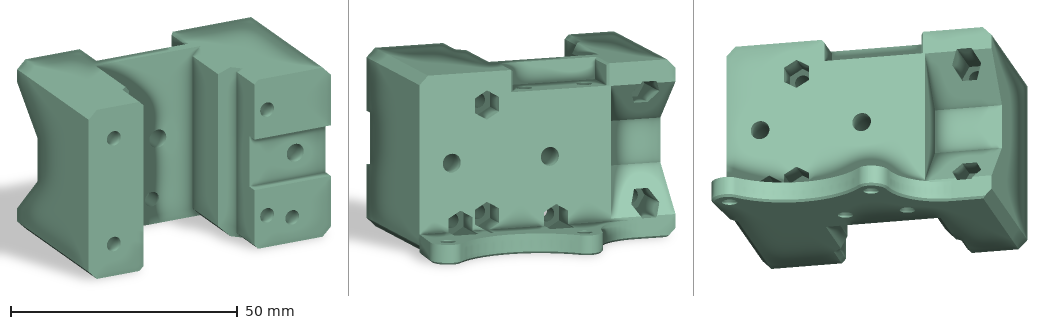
import cadquery as cq
import math

BODY_LENGTH = 34.45
BODY_WIDTH = 60.0
BODY_HEIGHT = 40.0
BODY_CHAMFER = 2.0
MID_Z = BODY_HEIGHT / 2
SMALL_CHAMFER = 0.5
OVERCUT = 3.05

CHANNEL_Y = 27.0
CHANNEL_WIDTH = 22.0
CHANNEL_START = 10.5
CHANNEL_CHAMFER = 2.0
MOUTH_Y = 27.3
MOUTH_WIDTH = 27.5
MOUTH_CHAMFER = 1.0
FLARE_START = 22.9

END_GROOVE_DEPTH = 2.45
END_GROOVE_HEIGHT = 11.95

SEAT_LENGTH = 8.0
SEAT_DEPTH = 5.0
SEAT_HOLE_X = 3.95
SEAT_HOLE_SPACING = 14.0

NOTCH_WIDTH = 15.1
NOTCH_DEPTH = 9.9
NOTCH_FLOOR_HEIGHT = 10.0

SCREW_DIAMETER = 3.4
BOLT_DIAMETER = 4.2
BOLT_SPACING = 23.0
NUT_FLATS = 5.7
NUT_POCKET_START = -4.15
NUT_POCKET_END = 6.0
NOTCH_NUT_POCKET_END = 12.0
CORNER_UP = 30
CORNER_SIDEWAYS = 0
PLATE_SCREW_Y = 44.2
NOTCH_SCREW_Y = 6.2
SCREW_SPACING_Z = 25.0
LOW_SCREW_Z = 5.9
LOW_SCREW_MID_Y = 39.2
LOW_SCREW_SPACING = 22.45

FLANGE_THICKNESS = 4.5
EAR_RADIUS = 4.0
EAR_X = -10.0
TIP_RADIUS = 3.0
TIP_ANGLE = 4.0
EAR_SPACING = 32.0
EAR_TOP = 61.0
UPPER_EAR_Y = EAR_TOP - EAR_RADIUS
LOWER_EAR_Y = UPPER_EAR_Y - EAR_SPACING
FLANGE_MID_Y = (UPPER_EAR_Y + LOWER_EAR_Y) / 2
WAIST_X = -7.0
FLANGE_END_Y = 9.15
FLANGE_ROOT = 3.05


def box(x, y, z):
    """Box spanning the given (low, high) pairs."""
    size = (x[1] - x[0], y[1] - y[0], z[1] - z[0])
    return cq.Workplane("XY").box(*size, centered=False).translate((x[0], y[0], z[0]))


def prism_along_x(points, x_start, x_end):
    """Polygon of (Y, Z) points swept from x_start to x_end."""
    return cq.Workplane("YZ").polyline(points).close().extrude(x_end - x_start).translate((x_start, 0, 0))


def hole_along_x(y, z, diameter):
    return (
        cq.Workplane("YZ", origin=(-OVERCUT, 0, 0))
        .center(y, z)
        .circle(diameter / 2)
        .extrude(BODY_LENGTH + 2 * OVERCUT)
    )


def nut_pocket(y, z, x_end, corner_angle):
    """Hexagonal pocket along X; corner_angle turns the first corner up from +Y."""
    corner_radius = NUT_FLATS / math.sqrt(3)
    corners = []
    for i in range(6):
        angle = math.radians(corner_angle + 60 * i)
        corners.append((y + corner_radius * math.cos(angle), z + corner_radius * math.sin(angle)))
    return prism_along_x(corners, NUT_POCKET_START, x_end)


def channel_profile(centre_y, width, chamfer, x_start):
    """Full-height channel along X with chamfered top and bottom edges."""
    half = width / 2
    outer = half + chamfer
    points = [
        (-outer, 0),
        (outer, 0),
        (half, chamfer),
        (half, BODY_HEIGHT - chamfer),
        (outer, BODY_HEIGHT),
        (-outer, BODY_HEIGHT),
        (-half, BODY_HEIGHT - chamfer),
        (-half, chamfer),
    ]
    shifted = [(centre_y + y, z) for y, z in points]
    return prism_along_x(shifted, x_start, BODY_LENGTH + OVERCUT)


def make_body():
    body = box((0, BODY_LENGTH), (0, BODY_WIDTH), (0, BODY_HEIGHT))
    body = body.edges("|X").chamfer(BODY_CHAMFER)
    return body.faces("<X").edges("<Z").chamfer(SMALL_CHAMFER)


def point_on_circle(centre, radius, target):
    """Point of a circle's rim in the direction of the target point."""
    dx = target[0] - centre[0]
    dy = target[1] - centre[1]
    scale = radius / math.hypot(dx, dy)
    return (centre[0] + dx * scale, centre[1] + dy * scale)


def mirror_about_waist(point):
    return (point[0], 2 * FLANGE_MID_Y - point[1])


def make_flange():
    upper_ear = (EAR_X, UPPER_EAR_Y)
    lower_ear = (EAR_X, LOWER_EAR_Y)

    tip_cos = math.cos(math.radians(TIP_ANGLE))
    tip_sin = math.sin(math.radians(TIP_ANGLE))
    tip_shift = EAR_RADIUS - TIP_RADIUS
    tip_centre = (EAR_X - tip_shift * tip_cos, UPPER_EAR_Y + tip_shift * tip_sin)
    tip_start = (EAR_X - EAR_RADIUS * tip_cos, UPPER_EAR_Y + EAR_RADIUS * tip_sin)

    offset = WAIST_X - tip_centre[0]
    rise = tip_centre[1] - FLANGE_MID_Y
    waist_radius = (offset**2 + rise**2 - TIP_RADIUS**2) / (2 * (TIP_RADIUS + offset))
    waist_centre = (WAIST_X - waist_radius, FLANGE_MID_Y)
    tip_end = point_on_circle(tip_centre, TIP_RADIUS, waist_centre)
    tip_chord_mid = ((tip_start[0] + tip_end[0]) / 2, (tip_start[1] + tip_end[1]) / 2)
    tip_mid = point_on_circle(tip_centre, TIP_RADIUS, tip_chord_mid)

    drop = LOWER_EAR_Y - FLANGE_END_Y
    lower_radius = (EAR_X**2 + drop**2 - EAR_RADIUS**2) / (2 * (EAR_RADIUS - EAR_X))
    lower_start = point_on_circle(lower_ear, EAR_RADIUS, (-lower_radius, FLANGE_END_Y))
    start_angle = math.atan2(lower_start[1] - FLANGE_END_Y, lower_start[0] + lower_radius)
    lower_mid = (
        lower_radius * (math.cos(start_angle / 2) - 1),
        FLANGE_END_Y + lower_radius * math.sin(start_angle / 2),
    )

    corner_dx = -EAR_X
    corner_dy = BODY_WIDTH - UPPER_EAR_Y
    corner_distance = math.hypot(corner_dx, corner_dy)
    tangent_angle = math.atan2(corner_dy, corner_dx) + math.acos(EAR_RADIUS / corner_distance)
    tangent = (
        EAR_X + EAR_RADIUS * math.cos(tangent_angle),
        UPPER_EAR_Y + EAR_RADIUS * math.sin(tangent_angle),
    )

    outer_side = (EAR_X - EAR_RADIUS, EAR_TOP)
    upper_ear_mid = point_on_circle(upper_ear, EAR_RADIUS, outer_side)
    lower_ear_mid = mirror_about_waist(upper_ear_mid)

    outline = (
        cq.Workplane("XY")
        .moveTo(FLANGE_ROOT, BODY_WIDTH - BODY_CHAMFER)
        .lineTo(0, BODY_WIDTH)
        .lineTo(*tangent)
        .threePointArc(upper_ear_mid, tip_start)
        .threePointArc(tip_mid, tip_end)
        .threePointArc((WAIST_X, FLANGE_MID_Y), mirror_about_waist(tip_end))
        .threePointArc(mirror_about_waist(tip_mid), mirror_about_waist(tip_start))
        .threePointArc(lower_ear_mid, lower_start)
        .threePointArc(lower_mid, (0, FLANGE_END_Y))
        .lineTo(FLANGE_ROOT, FLANGE_END_Y)
        .close()
    )
    flange = outline.extrude(FLANGE_THICKNESS)

    rim = cq.selectors.BoxSelector(
        (EAR_X - EAR_RADIUS - OVERCUT, 0, -SMALL_CHAMFER),
        (-SMALL_CHAMFER, EAR_TOP, SMALL_CHAMFER),
    )
    flange = flange.edges(rim).chamfer(SMALL_CHAMFER)

    for ear_y in (UPPER_EAR_Y, LOWER_EAR_Y):
        hole = cq.Workplane("XY").center(EAR_X, ear_y).circle(SCREW_DIAMETER / 2).extrude(FLANGE_THICKNESS)
        flange = flange.cut(hole)
    return flange


def cut_channel(part):
    narrow = channel_profile(CHANNEL_Y, CHANNEL_WIDTH, CHANNEL_CHAMFER, CHANNEL_START)
    mouth = channel_profile(MOUTH_Y, MOUTH_WIDTH, MOUTH_CHAMFER, CHANNEL_START)
    half = CHANNEL_WIDTH / 2
    reach = BODY_LENGTH + OVERCUT - FLARE_START
    flare = (
        cq.Workplane("XY")
        .polyline([
            (FLARE_START, CHANNEL_Y - half),
            (FLARE_START + reach, CHANNEL_Y - half - reach),
            (FLARE_START + reach, CHANNEL_Y + half + reach),
            (FLARE_START, CHANNEL_Y + half),
        ])
        .close()
        .extrude(BODY_HEIGHT)
    )
    return part.cut(narrow).cut(mouth.intersect(flare))


def cut_end_groove(part):
    groove = box(
        (BODY_LENGTH - END_GROOVE_DEPTH, BODY_LENGTH + OVERCUT),
        (MOUTH_Y, BODY_WIDTH + OVERCUT),
        (MID_Z - END_GROOVE_HEIGHT / 2, MID_Z + END_GROOVE_HEIGHT / 2),
    )
    return part.cut(groove)


def cut_seat(part):
    floor_z = BODY_HEIGHT - SEAT_DEPTH
    low_y = CHANNEL_Y - CHANNEL_WIDTH / 2
    high_y = CHANNEL_Y + CHANNEL_WIDTH / 2
    part = part.cut(box((-OVERCUT, SEAT_LENGTH), (low_y, high_y), (floor_z, BODY_HEIGHT + OVERCUT)))

    for wall_y in (low_y, high_y):
        top_bevel = prism_along_x(
            [
                (wall_y - SMALL_CHAMFER, BODY_HEIGHT),
                (wall_y, BODY_HEIGHT - SMALL_CHAMFER),
                (wall_y + SMALL_CHAMFER, BODY_HEIGHT),
            ],
            0,
            SEAT_LENGTH,
        )
        front_bevel = (
            cq.Workplane("XY", origin=(0, 0, floor_z))
            .polyline([(0, wall_y - SMALL_CHAMFER), (SMALL_CHAMFER, wall_y), (0, wall_y + SMALL_CHAMFER)])
            .close()
            .extrude(SEAT_DEPTH)
        )
        part = part.cut(top_bevel).cut(front_bevel)

    for side in (-1, 1):
        hole_y = CHANNEL_Y + side * SEAT_HOLE_SPACING / 2
        part = part.cut(
            cq.Workplane("XY").center(SEAT_HOLE_X, hole_y).circle(SCREW_DIAMETER / 2).extrude(BODY_HEIGHT)
        )
    return part


def cut_notch(part):
    floor_half = NOTCH_FLOOR_HEIGHT / 2
    mouth_half = floor_half + NOTCH_DEPTH
    notch = (
        cq.Workplane("XZ")
        .polyline([
            (0, MID_Z - mouth_half),
            (NOTCH_DEPTH, MID_Z - floor_half),
            (NOTCH_DEPTH, MID_Z + floor_half),
            (0, MID_Z + mouth_half),
        ])
        .close()
        .extrude(-NOTCH_WIDTH)
    )
    return part.cut(notch)


def cut_cross_holes(part):
    for side in (-1, 1):
        part = part.cut(hole_along_x(FLANGE_MID_Y + side * BOLT_SPACING / 2, MID_Z, BOLT_DIAMETER))

        screw_z = MID_Z + side * SCREW_SPACING_Z / 2
        part = part.cut(hole_along_x(PLATE_SCREW_Y, screw_z, SCREW_DIAMETER))
        part = part.cut(nut_pocket(PLATE_SCREW_Y, screw_z, NUT_POCKET_END, CORNER_UP))
        part = part.cut(hole_along_x(NOTCH_SCREW_Y, screw_z, SCREW_DIAMETER))
        part = part.cut(nut_pocket(NOTCH_SCREW_Y, screw_z, NOTCH_NUT_POCKET_END, CORNER_SIDEWAYS))
    return part


def cut_low_holes(part):
    for side in (-1, 1):
        hole_y = LOW_SCREW_MID_Y + side * LOW_SCREW_SPACING / 2
        hole = hole_along_x(hole_y, LOW_SCREW_Z, SCREW_DIAMETER)
        part = part.cut(hole)
        part = part.cut(nut_pocket(hole_y, LOW_SCREW_Z, NUT_POCKET_END, CORNER_UP))
    return part


result = make_body().union(make_flange())
result = cut_channel(result)
result = cut_end_groove(result)
result = cut_seat(result)
result = cut_notch(result)
result = cut_cross_holes(result)
result = cut_low_holes(result)